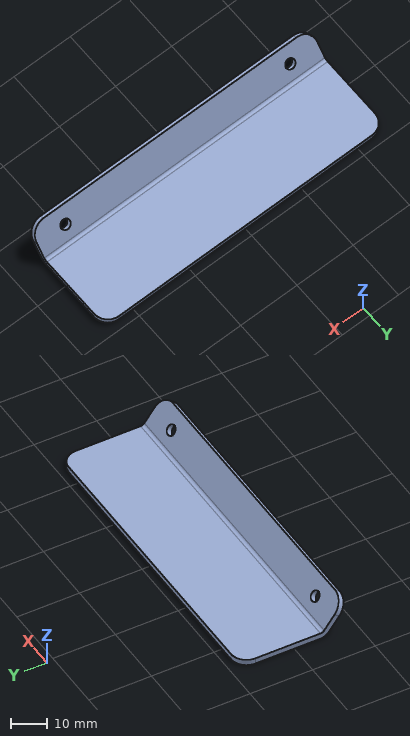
import cadquery as cq
import math

length = 100.0
depth = 34.9
height = 11.0

thickness = 2.0
inner_bend_radius = 1.5
bend_angle = 53.0
corner_radius = 5.0

hole_diameter = 3.3
hole_end_distance = 10.0
hole_edge_distance = 5.8

outer_bend_radius = inner_bend_radius + thickness
sin_bend = math.sin(math.radians(bend_angle))
cos_bend = math.cos(math.radians(bend_angle))

inner_bend_rise = inner_bend_radius * (1 - cos_bend)
flange_length = (height - thickness - inner_bend_rise) / sin_bend
flat_depth = depth - outer_bend_radius * sin_bend - flange_length * cos_bend

bend_center_z = thickness + inner_bend_radius


def bend_point(radius, angle):
    """Point (Y, Z) on a bend arc, at an angle from the start of the bend."""
    turn = math.radians(angle)
    return (-radius * math.sin(turn), bend_center_z - radius * math.cos(turn))


def along_flange(start, distance):
    """Point (Y, Z) a distance up the flange from a start point."""
    return (start[0] - distance * cos_bend, start[1] + distance * sin_bend)


def make_bent_sheet():
    inner_bend_end = bend_point(inner_bend_radius, bend_angle)
    outer_bend_end = bend_point(outer_bend_radius, bend_angle)
    return (
        cq.Workplane("YZ")
        .moveTo(flat_depth, 0)
        .lineTo(0, 0)
        .threePointArc(bend_point(outer_bend_radius, bend_angle / 2), outer_bend_end)
        .lineTo(*along_flange(outer_bend_end, flange_length))
        .lineTo(*along_flange(inner_bend_end, flange_length))
        .lineTo(*inner_bend_end)
        .threePointArc(bend_point(inner_bend_radius, bend_angle / 2), (0, thickness))
        .lineTo(flat_depth, thickness)
        .close()
        .extrude(length / 2, both=True)
    )


def round_corners(sheet):
    """Round the two rear plate corners and the two upper flange corners."""
    sheet = sheet.edges("|Z").edges(">Y").fillet(corner_radius)
    flange_normal = cq.Vector(0, -sin_bend, -cos_bend)
    flange_direction = cq.Vector(0, -cos_bend, sin_bend)
    return (
        sheet.edges(cq.selectors.ParallelDirSelector(flange_normal))
        .edges(cq.selectors.DirectionMinMaxSelector(flange_direction))
        .fillet(corner_radius)
    )


def make_flange_holes():
    """Cylinders square to the flange, starting on its outer face."""
    outer_bend_end = bend_point(outer_bend_radius, bend_angle)
    hole_y, hole_z = along_flange(outer_bend_end, flange_length - hole_edge_distance)
    flange_plane = cq.Plane(
        origin=(0, hole_y, hole_z),
        xDir=(1, 0, 0),
        normal=(0, sin_bend, cos_bend),
    )
    hole_offset = length / 2 - hole_end_distance
    return (
        cq.Workplane(flange_plane)
        .pushPoints([(-hole_offset, 0), (hole_offset, 0)])
        .circle(hole_diameter / 2)
        .extrude(thickness)
    )


result = round_corners(make_bent_sheet()).cut(make_flange_holes())